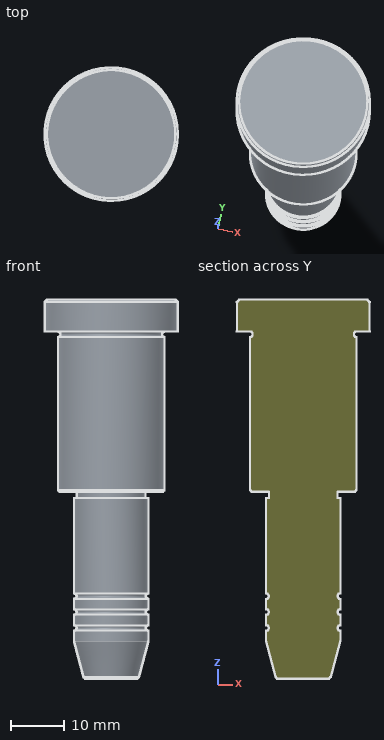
import cadquery as cq

TOTAL_HEIGHT = 71.0
HEAD_DIAMETER = 25.0
HEAD_HEIGHT = 6.0
BODY_DIAMETER = 20.0
BODY_BOTTOM = 35.0
SHANK_DIAMETER = 14.0

HEAD_CHAMFER = 0.5
LOWER_CHAMFER = 0.35

TIP_DIAMETER = 10.45
TAPER_HEIGHT = 7.0

NECK_DIAMETER = 12.9
NECK_HEIGHT = 1.15

GROOVE_RADIUS = 0.5
RING_COUNT = 3
RING_PITCH = 3.0
FIRST_RING_HEIGHT = 9.5


def cylinder(diameter, bottom, top):
    """Solid cylinder on the Z axis between two heights."""
    return cq.Workplane("XY").workplane(offset=bottom).circle(diameter / 2).extrude(top - bottom)


def round_groove(diameter, middle):
    """Ring-shaped cutter for a half-round groove in a cylinder of the given diameter."""
    section = cq.Workplane("XZ").center(diameter / 2, middle).circle(GROOVE_RADIUS)
    return section.revolve(360, (-diameter / 2, 0), (-diameter / 2, 1))


def tapered_tip():
    """Conical lead-in with a chamfered end, wide end upward."""
    profile = [
        (0, 0),
        (TIP_DIAMETER / 2 - LOWER_CHAMFER, 0),
        (TIP_DIAMETER / 2, LOWER_CHAMFER),
        (SHANK_DIAMETER / 2, TAPER_HEIGHT),
        (0, TAPER_HEIGHT),
    ]
    return cq.Workplane("XZ").polyline(profile).close().revolve(360, (0, 0), (0, 1))


head_bottom = TOTAL_HEIGHT - HEAD_HEIGHT
head = cylinder(HEAD_DIAMETER, head_bottom, TOTAL_HEIGHT).faces(">Z").edges().chamfer(HEAD_CHAMFER)

body = cylinder(BODY_DIAMETER, BODY_BOTTOM, head_bottom).faces("<Z").edges().chamfer(LOWER_CHAMFER)
body = body.cut(round_groove(BODY_DIAMETER, head_bottom - GROOVE_RADIUS))

neck_bottom = BODY_BOTTOM - NECK_HEIGHT
neck = cylinder(NECK_DIAMETER, neck_bottom, BODY_BOTTOM)

shank = cylinder(SHANK_DIAMETER, TAPER_HEIGHT, neck_bottom)
for ring in range(RING_COUNT):
    shank = shank.cut(round_groove(SHANK_DIAMETER, FIRST_RING_HEIGHT + ring * RING_PITCH))

result = tapered_tip().union(shank).union(neck).union(body).union(head)